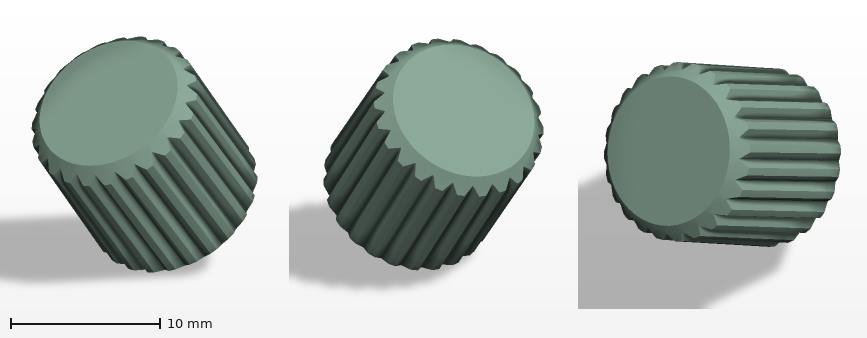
import cadquery as cq
import math

overall_height = 15.99
radius = 6.0
chamfer = 0.99
axis_lean = 41.5

groove_count = 24
groove_depth = 0.51
groove_floor = 0.06
groove_slope = 45.0
groove_twist = -3.4
first_groove = 4.1

pitch = 360.0 / groove_count


def polar(distance, degrees):
    angle = math.radians(degrees)
    return distance * math.cos(angle), distance * math.sin(angle)


def groove_edge_angle():
    """Half the angle spanned by a groove where its walls meet the outer radius."""
    slope_angle = math.radians(groove_slope)
    wall_distance = (
        groove_floor / 2 * math.cos(slope_angle)
        - (radius - groove_depth) * math.sin(slope_angle)
    )
    return groove_slope + math.degrees(math.asin(wall_distance / radius))


def knurl_outline(plane):
    """Cross-section: straight-sided grooves separated by arcs on the outer radius."""
    edge_angle = groove_edge_angle()
    floor_radius = math.hypot(radius - groove_depth, groove_floor / 2)
    floor_angle = math.degrees(math.atan2(groove_floor / 2, radius - groove_depth))
    outline = cq.Workplane(plane).moveTo(*polar(radius, first_groove - edge_angle))
    for i in range(groove_count):
        centre = first_groove + i * pitch
        outline = (
            outline.lineTo(*polar(floor_radius, centre - floor_angle))
            .lineTo(*polar(floor_radius, centre + floor_angle))
            .lineTo(*polar(radius, centre + edge_angle))
            .threePointArc(
                polar(radius, centre + pitch / 2),
                polar(radius, centre + pitch - edge_angle),
            )
        )
    return outline.close()


lean = math.radians(axis_lean)
face_radius = radius - chamfer
length = (overall_height - 2 * face_radius * math.sin(lean)) / math.cos(lean)

axis = cq.Vector(0, -math.sin(lean), math.cos(lean))
lower_end = cq.Plane(origin=(axis * (-length / 2)).toTuple(), xDir=(1, 0, 0), normal=axis.toTuple())

barrel = cq.Workplane(lower_end).circle(radius).extrude(length).edges().chamfer(chamfer)
knurl = knurl_outline(lower_end).twistExtrude(length, groove_twist)
result = knurl.intersect(barrel)